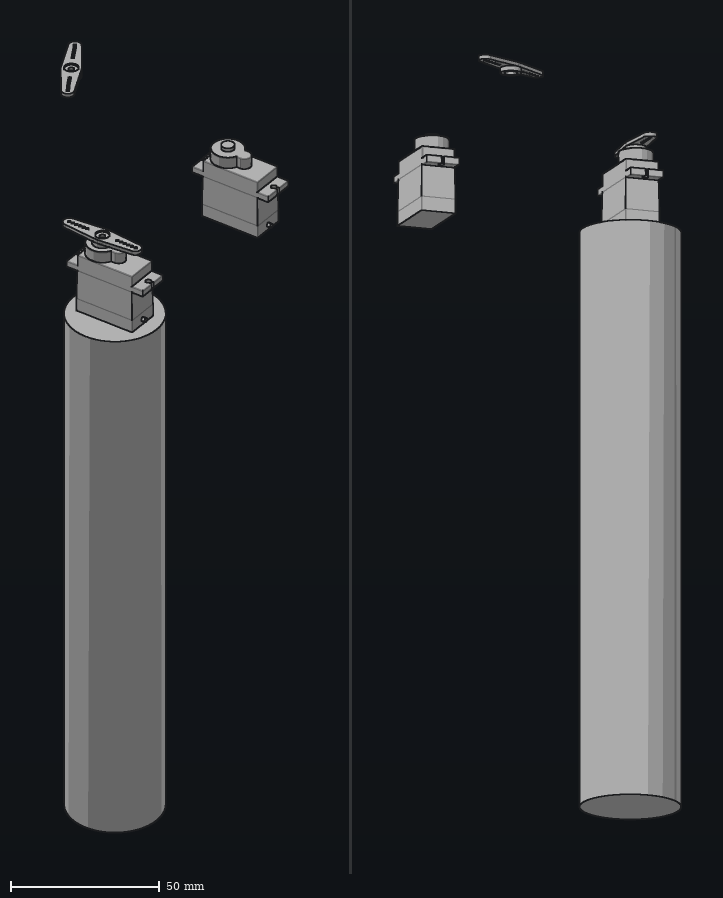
import cadquery as cq
import math

post_diameter = 34.38
post_height = 200.0

upper_case_length = 22.5
upper_case_width = 11.8
draft_step = 0.3
lower_case_length = upper_case_length + 2 * draft_step
lower_case_width = upper_case_width + 2 * draft_step
lower_case_height = 5.0
case_height = 22.5
edge_radius = 0.2
flange_length = 31.4
flange_bottom = 15.9
flange_thickness = 2.5
seam_above_flange_bottom = 0.3
middle_case_top = flange_bottom + seam_above_flange_bottom
screw_hole_diameter = 2.0
screw_hole_spacing = 27.8
screw_slot_width = 1.0
gearbox_diameter = 11.8
gearbox_height = 4.25
gearbox_x = -5.05
gearbox_top = case_height + gearbox_height
idler_diameter = 5.0
idler_x = 1.7
spline_diameter = 4.55
spline_height = 1.4
cable_reach = 1.3
cable_diameter = 1.6
cable_z = 2.05

horn_length = 31.75
blade_thickness = 1.5
horn_height = 3.2
hub_diameter = 7.16
tip_radius = 2.3
head_recess_diameter = 5.0
head_recess_depth = 0.6
horn_screw_diameter = 2.0
spline_bore_diameter = 4.6
spline_bore_depth = spline_height
link_hole_diameter = 1.0
link_hole_count = 6
link_hole_pitch = 1.5
first_link_hole_x = 6.2

mounted_servo_x = -0.1
mounted_servo_base = (mounted_servo_x, 0, post_height)
mounted_horn_base = (mounted_servo_x + gearbox_x, 0, post_height + gearbox_top)
spare_servo_base = (mounted_servo_x, 73.515, 197.72)
spare_horn_top = 236.69
spare_horn_base = (-65.81, 67.96, spare_horn_top - horn_height)
spare_horn_angle = -60


def cylinder(diameter, height, x=0, z=0):
    return cq.Workplane("XY", origin=(x, 0, z)).circle(diameter / 2).extrude(height)


def box(length, width, height, x=0, z=0):
    return cq.Workplane("XY", origin=(x, 0, z)).rect(length, width).extrude(height)


def make_post():
    return cylinder(post_diameter, post_height)


def make_lower_cases():
    bottom = box(lower_case_length, lower_case_width, lower_case_height).edges("|Z").fillet(edge_radius)
    middle_height = middle_case_top - lower_case_height
    middle_draft = math.degrees(math.atan(draft_step / middle_height))
    middle = (
        cq.Workplane("XY", origin=(0, 0, lower_case_height))
        .sketch()
        .rect(lower_case_length, lower_case_width)
        .vertices()
        .fillet(edge_radius)
        .finalize()
        .extrude(middle_height, taper=middle_draft)
    )
    return bottom.union(middle)


def make_upper_case():
    block_height = case_height - middle_case_top
    block = box(upper_case_length, upper_case_width, block_height, z=middle_case_top)
    return block.edges("|Z or >Z").fillet(edge_radius)


def make_flange():
    flange = box(flange_length, upper_case_width, flange_thickness, z=flange_bottom)
    flange = flange.edges("not |Z").fillet(edge_radius)
    slot_length = (flange_length - screw_hole_spacing) / 2
    slot_x = (flange_length - slot_length) / 2
    for side in (-1, 1):
        hole_x = side * screw_hole_spacing / 2
        hole = cylinder(screw_hole_diameter, flange_thickness, hole_x, flange_bottom)
        slot = box(slot_length, screw_slot_width, flange_thickness, side * slot_x, flange_bottom)
        flange = flange.cut(hole).cut(slot)
    return flange


def make_gearbox():
    bridge_length = idler_x - gearbox_x
    bridge_x = (idler_x + gearbox_x) / 2
    boss = cylinder(gearbox_diameter, gearbox_height, gearbox_x, case_height)
    boss = boss.union(cylinder(idler_diameter, gearbox_height, idler_x, case_height))
    boss = boss.union(box(bridge_length, idler_diameter, gearbox_height, bridge_x, case_height))
    boss = boss.edges(">Z").fillet(edge_radius)
    return boss.union(cylinder(spline_diameter, spline_height, gearbox_x, gearbox_top))


def make_servo(base):
    cable_end = lower_case_length / 2 + cable_reach
    cable_outlet = cq.Workplane("YZ").center(0, cable_z).circle(cable_diameter / 2).extrude(cable_end)
    servo = make_lower_cases().union(cable_outlet)
    servo = servo.union(make_upper_case()).union(make_flange()).union(make_gearbox())
    return servo.translate(base)


def make_blade():
    hub_radius = hub_diameter / 2
    tip_x = horn_length / 2 - tip_radius
    slope = math.asin((hub_radius - tip_radius) / tip_x)
    hub_touch_x = hub_radius * math.sin(slope)
    hub_touch_y = hub_radius * math.cos(slope)
    tip_touch_x = tip_x + tip_radius * math.sin(slope)
    tip_touch_y = tip_radius * math.cos(slope)
    return (
        cq.Workplane("XY", origin=(0, 0, horn_height - blade_thickness))
        .moveTo(hub_touch_x, hub_touch_y)
        .lineTo(tip_touch_x, tip_touch_y)
        .threePointArc((horn_length / 2, 0), (tip_touch_x, -tip_touch_y))
        .lineTo(hub_touch_x, -hub_touch_y)
        .threePointArc((0, -hub_radius), (-hub_touch_x, -hub_touch_y))
        .lineTo(-tip_touch_x, -tip_touch_y)
        .threePointArc((-horn_length / 2, 0), (-tip_touch_x, tip_touch_y))
        .lineTo(-hub_touch_x, hub_touch_y)
        .threePointArc((0, hub_radius), (hub_touch_x, hub_touch_y))
        .close()
        .extrude(blade_thickness)
    )


def make_horn(base, angle):
    horn = make_blade().union(cylinder(hub_diameter, horn_height - blade_thickness))

    horn = horn.cut(cylinder(spline_bore_diameter, spline_bore_depth))
    horn = horn.cut(cylinder(horn_screw_diameter, horn_height))
    recess_floor = horn_height - head_recess_depth
    horn = horn.cut(cylinder(head_recess_diameter, head_recess_depth, z=recess_floor))

    for side in (-1, 1):
        for number in range(link_hole_count):
            hole_x = side * (first_link_hole_x + number * link_hole_pitch)
            horn = horn.cut(cylinder(link_hole_diameter, horn_height, hole_x))
    return horn.rotate((0, 0, 0), (0, 0, 1), angle).translate(base)


post = make_post()
servos = [make_servo(base) for base in (mounted_servo_base, spare_servo_base)]
mounted_horn = make_horn(mounted_horn_base, 0)
spare_horn = make_horn(spare_horn_base, spare_horn_angle)

result = cq.Compound.makeCompound(
    [post.val(), *[servo.val() for servo in servos], mounted_horn.val(), spare_horn.val()]
)